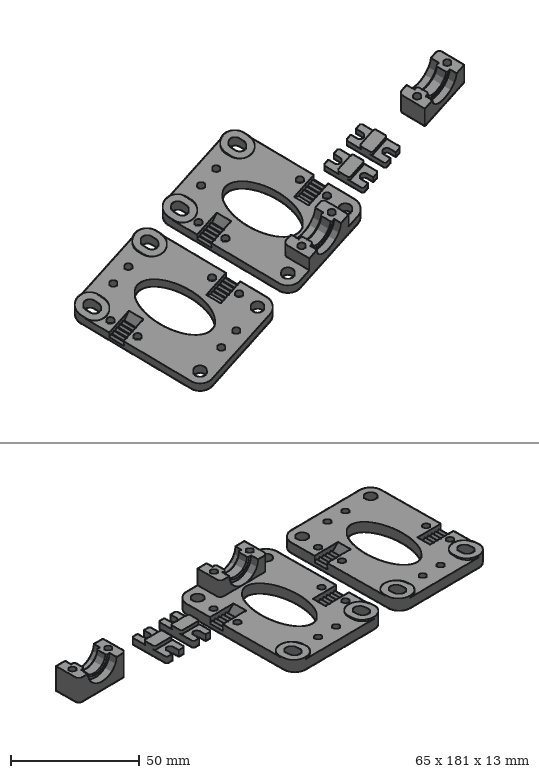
import cadquery as cq

plate_length = 65.0
plate_width = 50.0
plate_thickness = 5.0
corner_radius = 6.0
corner_hole_diameter = 5.5
slot_travel = 2.0
pad_rise = 1.0

slot_x = corner_radius + slot_travel / 2
round_hole_x = plate_length - corner_radius
low_hole_y = corner_radius
high_hole_y = plate_width - corner_radius
middle_x = (slot_x + round_hole_x) / 2
middle_y = plate_width / 2

window_length = 36.0
window_width = 20.0

screw_diameter = 3.3
end_screw_spacing = 10.0

belt_offset = 10.0
belt_width = 6.9
belt_depth = 3.0
tooth_pitch = 2.0
tooth_height = tooth_pitch / 2
tooth_count = 5
belt_screw_spacing = 13.0
belt_screw_inset = 5.0
belt_screw_depth = 4.0

saddle_length = 26.0
saddle_inner_reach = 6.5
saddle_outer_reach = corner_radius
saddle_edge_radius = 1.8
saddle_screw_spacing = 20.0
bore_radius = 8.0
ridge_radius = 6.2
ridge_width = 5.5
ridge_chamfer = 0.5
block_top = 13.0
block_height = block_top - plate_thickness
block_screw_depth = 10.0
cap_height = 11.8
cap_gap = 0.4

clamp_length = 19.2
clamp_width = 10.0
clamp_flange_thickness = 3.3
clamp_height = 5.0
clamp_ridge_width = 6.0
clamp_edge_radius = 0.9
clamp_slot_width = 3.5

overall_width = 181.0
block_plate_y = 58.1
clamp_x = 49.2
clamp_centers_y = [119.1, 134.0]
clamp_bottom = 1.6
cap_x = 52.9
cap_y = overall_width - saddle_length / 2
cap_bottom = 0.5


def make_pad(y):
    """Rounded pad round one adjusting slot, sloping down from the end face to the plate's top."""
    pad_length = 2 * corner_radius + slot_travel
    outline = (
        cq.Workplane("XY")
        .center(slot_x, y)
        .slot2D(pad_length, 2 * corner_radius)
        .extrude(plate_thickness + pad_rise)
    )
    wedge = (
        cq.Workplane("XZ")
        .polyline([
            (0, 0),
            (pad_length, 0),
            (pad_length, plate_thickness),
            (0, plate_thickness + pad_rise),
        ])
        .close()
        .extrude(-plate_width)
    )
    return outline.intersect(wedge)


def make_belt_recess():
    """Cutter for the recess at the -Y edge: a 45 degree ramp, then V-shaped teeth out to the edge."""
    floor = plate_thickness - belt_depth
    teeth_length = tooth_count * tooth_pitch
    profile = [(0, plate_thickness), (0, floor)]
    for tooth in range(tooth_count):
        valley_y = tooth * tooth_pitch
        profile.append((valley_y + tooth_pitch / 2, floor + tooth_height))
        profile.append((valley_y + tooth_pitch, floor))
    profile.append((teeth_length + belt_depth, plate_thickness))
    return (
        cq.Workplane("YZ")
        .polyline(profile)
        .close()
        .extrude(belt_width / 2, both=True)
        .translate((middle_x - belt_offset, 0, 0))
    )


def make_plate():
    plate = (
        cq.Workplane("XY")
        .box(plate_length, plate_width, plate_thickness, centered=False)
        .edges("|Z")
        .fillet(corner_radius)
    )
    hole_rows = [low_hole_y, high_hole_y]
    for y in hole_rows:
        plate = plate.union(make_pad(y))

    slots = (
        cq.Workplane("XY")
        .pushPoints([(slot_x, y) for y in hole_rows])
        .slot2D(corner_hole_diameter + slot_travel, corner_hole_diameter)
        .extrude(plate_thickness + pad_rise)
    )
    round_holes = (
        cq.Workplane("XY")
        .pushPoints([(round_hole_x, y) for y in hole_rows])
        .circle(corner_hole_diameter / 2)
        .extrude(plate_thickness)
    )
    window = (
        cq.Workplane("XY")
        .center(middle_x, middle_y)
        .ellipse(window_length / 2, window_width / 2)
        .extrude(plate_thickness)
    )
    plate = plate.cut(slots).cut(round_holes).cut(window)

    belt_screws = (
        cq.Workplane("XY", origin=(middle_x - belt_offset, belt_screw_inset, plate_thickness))
        .pushPoints([(-belt_screw_spacing / 2, 0), (belt_screw_spacing / 2, 0)])
        .circle(screw_diameter / 2)
        .extrude(-belt_screw_depth)
    )
    belt_cutter = make_belt_recess().union(belt_screws)
    for turn in (0, 180):
        plate = plate.cut(belt_cutter.rotate((middle_x, middle_y, 0), (middle_x, middle_y, 1), turn))
    return plate


def drill_end_screws(plate, x):
    """Drill a pair of through screw holes at one end of a plate."""
    screws = (
        cq.Workplane("XY")
        .center(x, middle_y)
        .rarray(1.8, end_screw_spacing, 1, 2)
        .circle(screw_diameter / 2)
        .extrude(plate_thickness)
    )
    return plate.cut(screws)


def make_saddle_body(height):
    """Solid saddle body; the origin is at the middle of its screw line, at its foot."""
    return (
        cq.Workplane("XY")
        .center((saddle_outer_reach - saddle_inner_reach) / 2, 0)
        .rect(saddle_inner_reach + saddle_outer_reach, saddle_length)
        .extrude(height)
        .edges("|Z and <X")
        .fillet(saddle_edge_radius)
    )


def make_saddle_cutter(axis_height, screw_depth):
    """Half bearing seat with its axis at the given height, and two screw holes down from there."""
    seat_x = ridge_width / 2
    tip_x = seat_x - ridge_chamfer
    bore = (
        cq.Workplane("XY")
        .polyline([
            (-saddle_inner_reach, 0),
            (-saddle_inner_reach, bore_radius),
            (-seat_x, bore_radius),
            (-seat_x, ridge_radius + ridge_chamfer),
            (-tip_x, ridge_radius),
            (tip_x, ridge_radius),
            (seat_x, ridge_radius + ridge_chamfer),
            (seat_x, bore_radius),
            (saddle_outer_reach, bore_radius),
            (saddle_outer_reach, 0),
        ])
        .close()
        .revolve(360, (0, 0, 0), (1, 0, 0))
        .translate((0, 0, axis_height))
    )
    screws = (
        cq.Workplane("XY", origin=(0, 0, axis_height))
        .rarray(1.8, saddle_screw_spacing, 1, 2)
        .circle(screw_diameter / 2)
        .extrude(-screw_depth)
    )
    return bore.union(screws)


def make_plain_plate():
    plate = make_plate()
    for x in (slot_x, round_hole_x):
        plate = drill_end_screws(plate, x)
    return plate


def make_block_plate():
    """Plate with a bearing saddle in one piece with it; the blind screw holes run into the plate."""
    saddle_foot = (round_hole_x, middle_y, plate_thickness)
    plate = drill_end_screws(make_plate(), slot_x)
    plate = plate.union(make_saddle_body(block_height).translate(saddle_foot))
    return plate.cut(make_saddle_cutter(block_height, block_screw_depth).translate(saddle_foot))


def make_cap():
    """Loose bearing saddle with its screw holes right through."""
    axis_height = cap_height + cap_gap
    return make_saddle_body(cap_height).cut(make_saddle_cutter(axis_height, axis_height))


def make_clamp():
    """Flat clamp with an open screw slot at each end and a raised ridge across the middle."""
    flange = (
        cq.Workplane("XY")
        .rect(clamp_length, clamp_width)
        .extrude(clamp_flange_thickness)
        .edges("|Z")
        .fillet(clamp_edge_radius)
    )
    ridge = (
        cq.Workplane("XY")
        .rect(clamp_ridge_width, clamp_width)
        .extrude(clamp_height)
        .edges("|Z")
        .fillet(clamp_edge_radius)
    )
    slot_reach = (clamp_length - belt_screw_spacing + clamp_slot_width) / 2
    slots = (
        cq.Workplane("XY")
        .rarray(clamp_length, 1.8, 2, 1)
        .slot2D(2 * slot_reach, clamp_slot_width)
        .extrude(clamp_flange_thickness)
    )
    return flange.union(ridge).cut(slots)


plain_plate = make_plain_plate()
block_plate = make_block_plate().translate((0, block_plate_y, 0))
clamps = [make_clamp().translate((clamp_x, y, clamp_bottom)) for y in clamp_centers_y]
cap = make_cap().translate((cap_x, cap_y, cap_bottom))

result = cq.Compound.makeCompound([
    plain_plate.solids().val(),
    block_plate.solids().val(),
    *[clamp.solids().val() for clamp in clamps],
    cap.solids().val(),
])